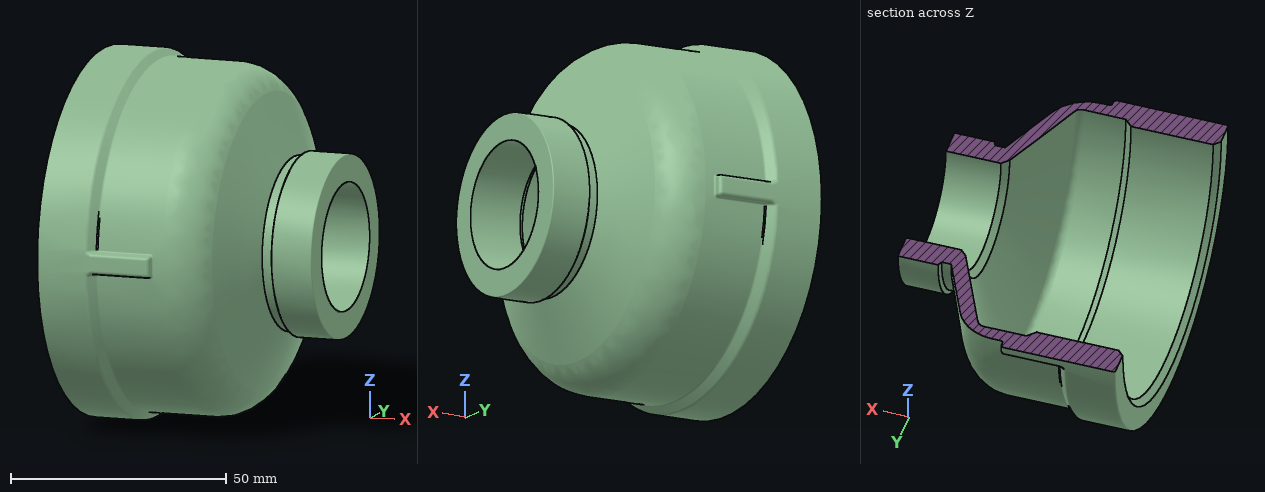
import cadquery as cq
import math

length = 60.0

rim_radius = 87.0 / 2
rim_end = 12.3
rim_face_fillet = 0.5
body_radius = 83.0 / 2
shoulder_fillet = 11.0
cone_angle = math.radians(65)
neck_radius = 41.2 / 2
neck_start = 47.3
collar_radius = 43.5 / 2
collar_start = 49.6
collar_chamfer = 0.5
collar_edge_fillet = 0.3

mouth_radius = 75.2 / 2
socket_radius = 72.23 / 2
socket_end = 21.5
cavity_radius = 76.0 / 2
cavity_corner_x = 35.0
cavity_fillet = 2.0
throat_radius = 33.5 / 2
bore_radius = 30.29 / 2

lug_width = 5.1
lug_end = 28.0
relief_end = 30.0
lug_corner_fillet = 0.6
lug_tip_fillet = 0.6
top_fillet = 1.0
base_fillet = 0.5

slope = math.tan(cone_angle)
step_end = rim_end + rim_radius - body_radius
shoulder_x = neck_start - (body_radius - neck_radius) / slope
throat_x = cavity_corner_x + (cavity_radius - throat_radius) / slope
throat_depth = throat_radius - bore_radius
socket_lead_in = mouth_radius - socket_radius


def revolve_about_x(points):
    """Solid of revolution from (x, radius) points."""
    return cq.Workplane("XY").polyline(points).close().revolve(360, (0, 0, 0), (1, 0, 0))


def ring_at(x, radius):
    """Select circular edges around the X axis at the given station and radius."""
    tolerance = 0.05
    return cq.selectors.BoxSelector(
        (x - tolerance, -radius - tolerance, -radius - tolerance),
        (x + tolerance, radius + tolerance, radius + tolerance),
        boundingbox=True,
    )


def outer_body():
    """Solid outside shape, at full rim radius until the end of the relief."""
    body = revolve_about_x([
        (0, 0),
        (0, rim_radius),
        (relief_end, rim_radius),
        (relief_end, body_radius),
        (shoulder_x, body_radius),
        (neck_start, neck_radius),
        (collar_start, neck_radius),
        (collar_start + collar_chamfer, collar_radius),
        (length, collar_radius),
        (length, 0),
    ])
    body = body.edges(ring_at(0, rim_radius)).fillet(rim_face_fillet)
    body = body.edges(ring_at(shoulder_x, body_radius)).fillet(shoulder_fillet)
    return body.edges(ring_at(length, collar_radius)).fillet(collar_edge_fillet)


def relief():
    """Material removed behind the rim, leaving the two lugs standing."""
    clearance = 3.0
    outer = rim_radius + clearance
    ring = revolve_about_x([
        (rim_end - clearance, outer),
        (step_end, body_radius),
        (relief_end, body_radius),
        (relief_end, outer),
    ])
    lug_bar = cq.Workplane("XY").box(
        lug_end, 2 * (outer + clearance), lug_width, centered=(False, True, True)
    )
    return ring.cut(lug_bar)


def cavity():
    """Hollow space: lead-in, socket, wider cavity, inner cone, throat and bore."""
    hollow = revolve_about_x([
        (0, 0),
        (0, mouth_radius),
        (socket_lead_in, socket_radius),
        (socket_end, socket_radius),
        (socket_end + cavity_radius - socket_radius, cavity_radius),
        (cavity_corner_x, cavity_radius),
        (throat_x, throat_radius),
        (throat_x + throat_depth, bore_radius),
        (length, bore_radius),
        (length, 0),
    ])
    return hollow.edges(ring_at(cavity_corner_x, cavity_radius)).fillet(cavity_fillet)


def edges_on_cylinder(body, radius):
    """Edges of the step and lugs that lie wholly on a cylinder around the X axis."""
    tolerance = 0.02

    def lies_on_cylinder(edge):
        box = edge.BoundingBox()
        if box.xmin < rim_end - tolerance or box.xmax > lug_end + tolerance:
            return False
        points = [edge.positionAt(t) for t in (0, 0.3, 1)]
        return all(abs(math.hypot(p.y, p.z) - radius) < tolerance for p in points)

    return body.newObject([edge for edge in body.edges().vals() if lies_on_cylinder(edge)])


def round_step_and_lugs(body):
    """Round the lug corners first, then the top and base edges of step and lugs."""
    body = body.edges("%HYPERBOLA").fillet(lug_corner_fillet)
    lug_tip = cq.selectors.BoxSelector(
        (lug_end - lug_width / 2, -rim_radius, -lug_width),
        (lug_end + lug_width / 2, rim_radius, lug_width),
    )
    body = body.edges("|Y").edges(lug_tip).fillet(lug_tip_fillet)
    body = edges_on_cylinder(body, rim_radius).fillet(top_fillet)
    return edges_on_cylinder(body, body_radius).fillet(base_fillet)


result = round_step_and_lugs(outer_body().cut(relief())).cut(cavity())